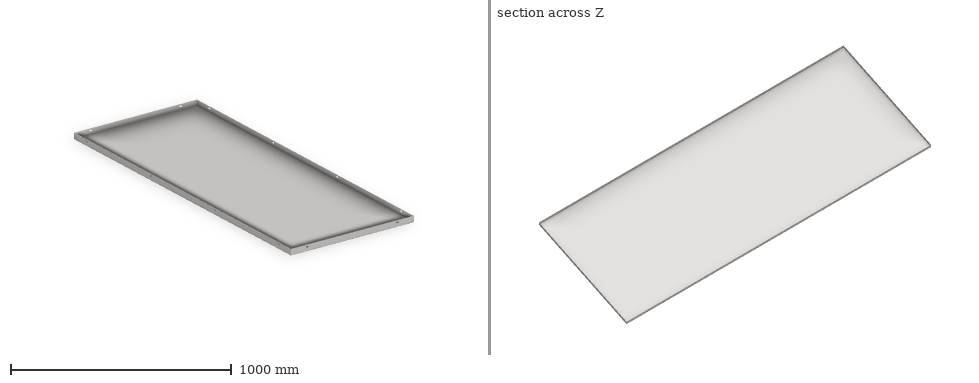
import cadquery as cq

LENGTH = 1697.0
WIDTH = 683.0
HEIGHT = 31.5
SHEET = 1.5
OUTER_EDGE_RADIUS = SHEET

SLOT_LENGTH = 15.0
SLOT_HEIGHT = 7.0
SLOT_PITCH = 500.0
LONG_WALL_SLOTS = 4
SHORT_WALL_SLOTS = 2
SLOT_Z = 21.0

FLOOR_HOLE_DIAMETER = 7.0
FLOOR_HOLE_FROM_END = 20.0
FLOOR_HOLE_FROM_SIDE = 18.5


def make_pan():
    """Open pan with rounded outer bottom and corner edges and a sharp inner cavity."""
    outside = (
        cq.Workplane("XY")
        .rect(LENGTH, WIDTH)
        .extrude(HEIGHT)
        .edges("|Z or <Z")
        .fillet(OUTER_EDGE_RADIUS)
    )
    cavity = (
        cq.Workplane("XY", origin=(0, 0, SHEET))
        .rect(LENGTH - 2 * SHEET, WIDTH - 2 * SHEET)
        .extrude(HEIGHT - SHEET)
    )
    return outside.cut(cavity)


def wall_slots(plane, count, span):
    """Row of slots running across the whole tray, through both opposite walls."""
    return (
        cq.Workplane(plane)
        .center(0, SLOT_Z)
        .rarray(SLOT_PITCH, 1, count, 1)
        .slot2D(SLOT_LENGTH, SLOT_HEIGHT)
        .extrude(span / 2, both=True)
    )


def floor_holes():
    hole_x = LENGTH / 2 - FLOOR_HOLE_FROM_END
    hole_y = WIDTH / 2 - FLOOR_HOLE_FROM_SIDE
    return (
        cq.Workplane("XY")
        .pushPoints([(hole_x, -hole_y), (hole_x, hole_y)])
        .circle(FLOOR_HOLE_DIAMETER / 2)
        .extrude(SHEET)
    )


result = (
    make_pan()
    .cut(wall_slots("XZ", LONG_WALL_SLOTS, WIDTH))
    .cut(wall_slots("YZ", SHORT_WALL_SLOTS, LENGTH))
    .cut(floor_holes())
)